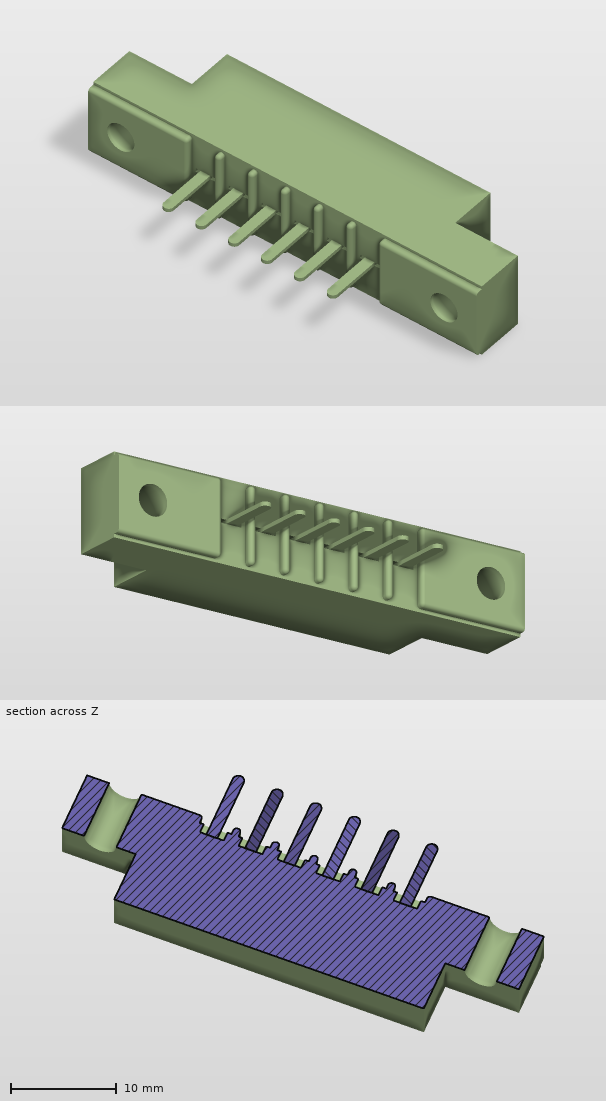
import cadquery as cq

LENGTH = 46.8
THICKNESS = 8.7
BLOCK_LENGTH = 31.72
BLOCK_DEPTH = 5.4
FLANGE_DEPTH = 5.5

STANDOFF = 0.8
STANDOFF_HEIGHT = 8.0
PAD_LENGTH = 11.9
RIB_WIDTH = 0.75
ROUNDING = 0.365

HOLE_DIAMETER = 3.28
HOLE_SPACING = 38.95

PIN_COUNT = 6
PIN_ROW_SPAN = 19.8
PIN_PITCH = PIN_ROW_SPAN / (PIN_COUNT - 1)
PIN_WIDTH = 1.15
PIN_THICKNESS = 0.4
PIN_REACH = 6.2
RECESS_WIDTH = 2.4
RECESS_DEPTH = 0.95

FLANGE_BACK_Y = -BLOCK_DEPTH
FACE_Y = FLANGE_BACK_Y - FLANGE_DEPTH
RECESS_FLOOR_Y = FACE_Y + RECESS_DEPTH
PIN_TIP_Y = FACE_Y - PIN_REACH


def centred_positions(count):
    """X positions of count places at the pin pitch, centred on X = 0."""
    return [(i - (count - 1) / 2) * PIN_PITCH for i in range(count)]


PIN_POSITIONS = centred_positions(PIN_COUNT)
RIB_POSITIONS = centred_positions(PIN_COUNT - 1)


def slab(x_start, x_end, y_front, y_back, height):
    """Box between the given X and Y limits, centred on Z = 0."""
    return (
        cq.Workplane("XY")
        .box(x_end - x_start, y_back - y_front, height, centered=(False, False, True))
        .translate((x_start, y_front, 0))
    )


def make_end_pad():
    """Pad at the -X end; its outer end stays square, flush with the flange."""
    left = -LENGTH / 2
    pad = slab(left, left + PAD_LENGTH, FACE_Y - STANDOFF, FACE_Y, STANDOFF_HEIGHT)
    inner_end_edges = pad.faces(">X").edges("not >Y")
    long_front_edges = pad.faces("<Y").edges("|X")
    return pad.newObject(inner_end_edges.vals() + long_front_edges.vals()).fillet(ROUNDING)


def make_rib(x):
    """Upright rib at X = x, rounded on every edge clear of the flange face."""
    rib = slab(x - RIB_WIDTH / 2, x + RIB_WIDTH / 2, FACE_Y - STANDOFF, FACE_Y, STANDOFF_HEIGHT)
    return rib.edges("not >Y").fillet(ROUNDING)


def make_mounting_holes():
    """Cutters through the flange and the end pads."""
    return (
        cq.Workplane("XZ", origin=(0, FLANGE_BACK_Y, 0))
        .pushPoints([(-HOLE_SPACING / 2, 0), (HOLE_SPACING / 2, 0)])
        .circle(HOLE_DIAMETER / 2)
        .extrude(FLANGE_DEPTH + STANDOFF)
    )


def make_housing():
    block = slab(-BLOCK_LENGTH / 2, BLOCK_LENGTH / 2, FLANGE_BACK_Y, 0, THICKNESS)
    flange = slab(-LENGTH / 2, LENGTH / 2, FACE_Y, FLANGE_BACK_Y, THICKNESS)
    pad = make_end_pad()
    body = block.union(flange).union(pad).union(pad.mirror("YZ"))
    for x in RIB_POSITIONS:
        body = body.union(make_rib(x))
    body = body.cut(make_mounting_holes())
    for x in PIN_POSITIONS:
        recess = slab(x - RECESS_WIDTH / 2, x + RECESS_WIDTH / 2, FACE_Y, RECESS_FLOOR_Y, PIN_THICKNESS)
        body = body.cut(recess)
    return body


def make_pin(x):
    """Flat pin at X = x, from the recess floor to a round tip."""
    half_width = PIN_WIDTH / 2
    round_start_y = PIN_TIP_Y + half_width
    return (
        cq.Workplane("XY", origin=(x, 0, -PIN_THICKNESS / 2))
        .moveTo(-half_width, RECESS_FLOOR_Y)
        .lineTo(-half_width, round_start_y)
        .threePointArc((0, PIN_TIP_Y), (half_width, round_start_y))
        .lineTo(half_width, RECESS_FLOOR_Y)
        .close()
        .extrude(PIN_THICKNESS)
    )


housing = make_housing()
pins = [make_pin(x) for x in PIN_POSITIONS]

result = cq.Compound.makeCompound([housing.val(), *[pin.val() for pin in pins]])